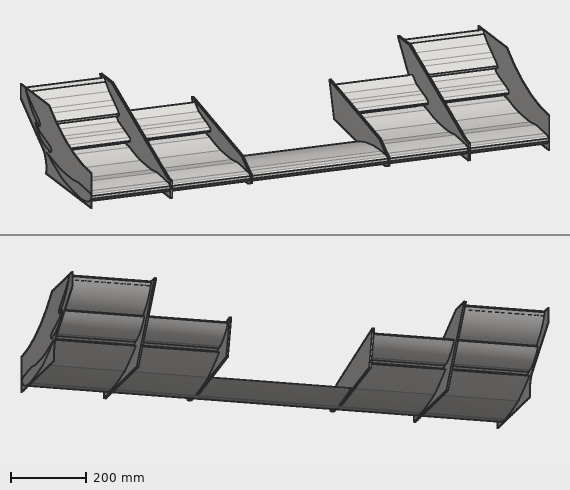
import cadquery as cq

SPAN = 1318.0
CHORD = 500.0
HEIGHT = 198.0
END_PLATE_THICKNESS = 1.0
FENCE_THICKNESS = 5.0
OUTER_FENCE_Y = 428.0
INNER_FENCE_Y = 198.0

END_PLATE_CREST = (200.0, HEIGHT)
END_PLATE_SWEEP_MIDDLE = (332.0, 129.0)
END_PLATE_FRONT_TOP = (CHORD, 98.0)
END_PLATE_HEEL = (179.0, 0)
END_PLATE_HOOK_MIDDLE = (180.0, 26.0)
END_PLATE_HOOK_TOP = (163.0, 59.0)
END_PLATE_LOWER_BEND = (79.0, 110.0)
END_PLATE_TAIL = (0, 157.0)

OUTER_FENCE = [(0, HEIGHT), (82.0, HEIGHT), (475.0, 51.0), (CHORD, 47.0), (CHORD, 0), (177.0, 0)]
INNER_FENCE = [
    (83.0, 129.0),
    (435.0, 70.0),
    (469.0, 50.0),
    (CHORD, 34.0),
    (CHORD, 13.0),
    (482.0, 7.0),
    (395.0, 4.0),
    (116.0, 29.0),
]

NOSE_CROWN = [((490.0, 38.0), 0.7), ((497.0, 33.0), 0.7), ((497.0, 25.0), 0)]
CENTRE_TIP = (291.0, 20.0)
UNDERSIDE = [((464.0, 8.0), 3.0), ((419.0, 4.0), 1.0), (CENTRE_TIP, 2.0)]

MAIN_TIP = (183.0, 59.0)
MAIN_PROFILE = [
    ((210.0, 55.0), 0),
    ((287.0, 42.0), -1.0),
    ((364.0, 40.0), -0.7),
    ((403.0, 43.0), -0.3),
    ((470.0, 40.0), 0.7),
    *NOSE_CROWN,
    *UNDERSIDE,
    (MAIN_TIP, 1.0),
]

CENTRE_PROFILE = [((451.0, 41.0), 5.9), ((470.0, 40.0), 0), *NOSE_CROWN, *UNDERSIDE]

LOWER_FLAP_TIP = (100.0, 117.0)
LOWER_FLAP_PROFILE = [
    ((104.0, 121.0), 0),
    ((132.0, 104.0), 0),
    ((165.0, 95.0), 0),
    ((180.0, 91.0), 0),
    ((208.0, 83.0), 0.7),
    ((216.0, 75.0), 2.0),
    ((203.0, 67.0), 1.0),
    ((192.0, 72.0), 0),
    ((174.0, 74.0), 0),
    (LOWER_FLAP_TIP, 7.0),
]

UPPER_FLAP_TIP = (32.0, 194.0)
UPPER_FLAP_PROFILE = [
    ((34.0, HEIGHT), 0),
    ((41.0, 187.0), 0),
    ((66.0, 169.0), 0),
    ((94.0, 153.0), 0),
    ((110.0, 144.0), 0),
    ((136.0, 127.0), 1.0),
    ((127.0, 119.0), 4.0),
    (UPPER_FLAP_TIP, 9.0),
]


def wing_element(tip, profile, y_start, y_end):
    """Extrude an aerofoil profile along the span between two Y positions."""
    outline = cq.Workplane("XZ", origin=(0, y_end, 0)).moveTo(*tip)
    for end, sagitta in profile:
        outline = outline.sagittaArc(end, sagitta) if sagitta else outline.lineTo(*end)
    return outline.close().extrude(y_end - y_start)


def end_plate():
    """Thin plate at the +Y tip with a hollow upper edge and a hooked lower edge."""
    return (
        cq.Workplane("XZ", origin=(0, SPAN / 2, 0))
        .moveTo(0, HEIGHT)
        .lineTo(*END_PLATE_CREST)
        .threePointArc(END_PLATE_SWEEP_MIDDLE, END_PLATE_FRONT_TOP)
        .lineTo(CHORD, 0)
        .lineTo(*END_PLATE_HEEL)
        .threePointArc(END_PLATE_HOOK_MIDDLE, END_PLATE_HOOK_TOP)
        .lineTo(*END_PLATE_LOWER_BEND)
        .lineTo(*END_PLATE_TAIL)
        .close()
        .extrude(END_PLATE_THICKNESS)
    )


def fence(outline, y):
    """Flat plate along the chord, centred on a Y position."""
    plate = cq.Workplane("XZ", origin=(0, y, 0)).polyline(outline).close()
    return plate.extrude(FENCE_THICKNESS / 2, both=True)


half_parts = [
    fence(OUTER_FENCE, OUTER_FENCE_Y),
    fence(INNER_FENCE, INNER_FENCE_Y),
    wing_element(MAIN_TIP, MAIN_PROFILE, INNER_FENCE_Y, SPAN / 2),
    wing_element(LOWER_FLAP_TIP, LOWER_FLAP_PROFILE, INNER_FENCE_Y, SPAN / 2),
    wing_element(UPPER_FLAP_TIP, UPPER_FLAP_PROFILE, OUTER_FENCE_Y, SPAN / 2),
]
half_wing = end_plate()
for half_part in half_parts:
    half_wing = half_wing.union(half_part)

centre = wing_element(CENTRE_TIP, CENTRE_PROFILE, -INNER_FENCE_Y, INNER_FENCE_Y)
result = half_wing.union(half_wing.mirror("XZ")).union(centre)